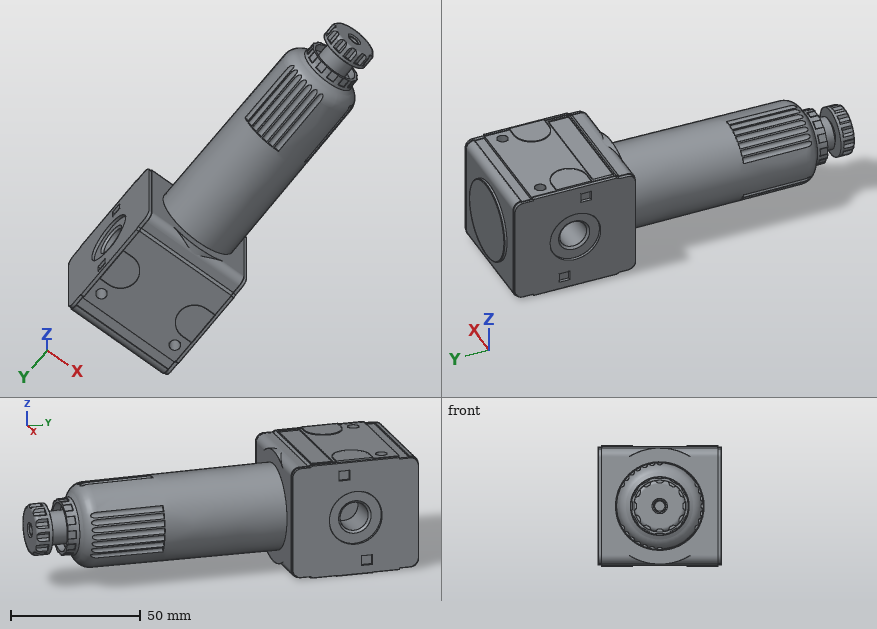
import cadquery as cq
import math


housing_width = 47.7
core_width = 45.0
housing_length = 51.7
end_height = 45.0
plateau_height = 46.2
pad_height = 47.0
corner_radius = 3.3
plate_inset = 0.3
plateau_rear_y = 18.1
plateau_front_y = -17.8
plateau_slope_length = 1.2
rear_y = housing_length / 2
front_y = -rear_y

channel_rear_y = 22.3
channel_depth = 0.6

front_boss_diameter = end_height
rear_disc_diameter = 33.5
rear_disc_height = 1.2
rear_disc_chamfer = 0.3

pad_radius = 7.5
pad_tip_x = 10.6
label_width = 42.5
label_rear_y = -8.5
label_front_y = -17.2
label_depth = 0.5
mount_hole_diameter = 4.4
mount_hole_x = 18.0
mount_hole_y = 12.3

spotface_diameter = 21.5
spotface_depth = 1.2
port_diameter = 11.4
port_chamfer = 0.9
port_depth = 15.2
mark_length = 4.4
mark_height = 4.0
mark_depth = 1.2
mark_y = -4.5
mark_z = 17.6

bowl_top_diameter = 34.4
bowl_bottom_diameter = 33.5
shoulder_y = -101.7
round_end_y = -107.2
round_end_diameter = 26.1
collar_y = -108.2
collar_cone_diameter = 22.8
collar_cone_end_y = -110.4
collar_diameter = 22.0
collar_end_y = -112.8
collar_recess_diameter = 19.2
collar_recess_depth = 3.0
stem_diameter = 13.2
stem_end_y = -117.6
neck_diameter = 9.7
knob_y = -118.7
knob_diameter = 20.0
knob_end_y = -125.0
knob_round = 1.5

flute_groups = 3
flutes_per_group = 7
flute_pitch_angle = 10.0
flute_radius = 1.2
flute_axis_radius = 17.2
flute_start_y = -75.2

window_count = 12
window_width = 3.2
window_start_y = -109.5
window_floor_radius = 10.6

knurl_count = 12
knurl_start_y = -120.1
knurl_floor_radius = 9.0
knurl_floor_width = 1.5
knurl_mouth_width = 4.1

drain_mouth_diameter = 6.0
drain_bore_diameter = 4.9
drain_bore_depth = 0.6
drain_hole_diameter = 4.0
drain_hole_depth = 9.1

clearance = 1.5


def box_between(x, y, z):
    """Axis-aligned box given its (low, high) limits along each axis."""
    size = (x[1] - x[0], y[1] - y[0], z[1] - z[0])
    return cq.Workplane("XY").box(*size, centered=False).translate((x[0], y[0], z[0]))


def cylinder_y(diameter, start_y, end_y):
    """Cylinder on the Y axis from start_y towards the larger end_y."""
    plane = cq.Plane(origin=(0, start_y, 0), xDir=(1, 0, 0), normal=(0, 1, 0))
    return cq.Workplane(plane).circle(diameter / 2).extrude(end_y - start_y)


def cylinder_x(diameter, start_x, end_x):
    """Cylinder on the X axis from start_x towards the larger end_x."""
    return cq.Workplane("YZ", origin=(start_x, 0, 0)).circle(diameter / 2).extrude(end_x - start_x)


def housing_block(width, inset):
    """Rounded block with a plateau on top and bottom, shrunk all round in Y and Z by inset."""
    end_z = end_height / 2 - inset
    plateau_z = plateau_height / 2 - inset
    rear = plateau_rear_y - inset
    front = plateau_front_y + inset
    foot = front - plateau_slope_length
    block = cq.Workplane("XY").box(width, housing_length - 2 * inset, 2 * end_z)
    block = block.edges("|X").fillet(corner_radius)
    outline = [
        (rear, plateau_z),
        (front, plateau_z),
        (foot, end_z),
        (foot, -end_z),
        (front, -plateau_z),
        (rear, -plateau_z),
    ]
    plateau = cq.Workplane("YZ").polyline(outline).close().extrude(width / 2, both=True)
    return block.union(plateau)


def channels():
    """Shallow channels across the core, behind the plateau, on top and bottom."""
    x = (-core_width / 2, core_width / 2)
    y = (plateau_rear_y, channel_rear_y)
    floor_z = end_height / 2 - channel_depth
    top = box_between(x, y, (floor_z, floor_z + clearance))
    return top.union(top.mirror("XY"))


def pads():
    """Four D-shaped pads: round end inwards, straight end at the side of the core."""
    centre_x = pad_tip_x + pad_radius
    edge_x = core_width / 2
    pad = (
        cq.Workplane("XY")
        .moveTo(edge_x, -pad_radius)
        .lineTo(centre_x, -pad_radius)
        .threePointArc((pad_tip_x, 0), (centre_x, pad_radius))
        .lineTo(edge_x, pad_radius)
        .close()
        .extrude(pad_height / 2, both=True)
    )
    return pad.union(pad.mirror("YZ"))


def left_port():
    """Spotface, chamfered blind port and two square marks on the -X side."""
    side_x = -housing_width / 2
    floor_x = side_x + spotface_depth
    cutter = cylinder_x(spotface_diameter, side_x, floor_x)
    mouth_radius = port_diameter / 2 + port_chamfer
    bore_outline = [
        (floor_x, 0),
        (floor_x, mouth_radius),
        (floor_x + port_chamfer, port_diameter / 2),
        (side_x + port_depth, port_diameter / 2),
        (side_x + port_depth, 0),
    ]
    bore = cq.Workplane("XY").polyline(bore_outline).close().revolve(360, (0, 0, 0), (1, 0, 0))
    cutter = cutter.union(bore)
    for sign in (1, -1):
        mark = cq.Workplane("XY").box(2 * mark_depth, mark_length, mark_height)
        cutter = cutter.union(mark.translate((side_x, sign * mark_y, sign * mark_z)))
    return cutter


def mount_holes():
    """Two holes through the housing along Z."""
    return (
        cq.Workplane("XY")
        .pushPoints([(-mount_hole_x, mount_hole_y), (mount_hole_x, mount_hole_y)])
        .circle(mount_hole_diameter / 2)
        .extrude(pad_height, both=True)
    )


def make_housing():
    body = housing_block(core_width, 0)
    body = body.union(housing_block(housing_width, plate_inset)).cut(channels())
    body = body.union(cylinder_y(front_boss_diameter, front_y, front_y + corner_radius))
    rear_disc = cylinder_y(rear_disc_diameter, rear_y - clearance, rear_y + rear_disc_height)
    body = body.union(rear_disc.faces(">Y").chamfer(rear_disc_chamfer))
    body = body.union(pads())
    label = box_between(
        (-label_width / 2, label_width / 2),
        (label_front_y, label_rear_y),
        (plateau_height / 2 - label_depth, plateau_height / 2),
    )
    body = body.cut(label)
    port = left_port()
    body = body.cut(port).cut(port.mirror("YZ"))
    return body.cut(mount_holes())


def bowl_blank():
    """Turned shape of the bowl, collar, stem and knob."""
    knob_radius = knob_diameter / 2
    recess_floor_y = collar_end_y + collar_recess_depth
    round_mid = knob_round * (1 - math.sqrt(0.5))
    profile = (
        cq.Workplane("XY")
        .moveTo(0, front_y)
        .lineTo(bowl_top_diameter / 2, front_y)
        .lineTo(bowl_bottom_diameter / 2, shoulder_y)
        .tangentArcPoint((round_end_diameter / 2, round_end_y), relative=False)
        .lineTo(collar_cone_diameter / 2, collar_y)
        .lineTo(collar_diameter / 2, collar_cone_end_y)
        .lineTo(collar_diameter / 2, collar_end_y)
        .lineTo(collar_recess_diameter / 2, collar_end_y)
        .lineTo(collar_recess_diameter / 2, recess_floor_y)
        .lineTo(stem_diameter / 2, recess_floor_y)
        .lineTo(stem_diameter / 2, stem_end_y)
        .lineTo(neck_diameter / 2, stem_end_y)
        .lineTo(neck_diameter / 2, knob_y)
        .lineTo(knob_radius, knob_y)
        .lineTo(knob_radius, knob_end_y + knob_round)
        .threePointArc(
            (knob_radius - round_mid, knob_end_y + round_mid),
            (knob_radius - knob_round, knob_end_y),
        )
        .lineTo(0, knob_end_y)
        .close()
    )
    return profile.revolve(360, (0, 0, 0), (0, 1, 0))


def around_axis(cutter, angles):
    """Copies of a cutter made at +X, turned about the Y axis."""
    copies = [cutter.rotate((0, 0, 0), (0, 1, 0), angle).val() for angle in angles]
    return cq.Workplane("XY").newObject([cq.Compound.makeCompound(copies)])


def flutes():
    """Round-bottomed grip flutes running out through the rounded end of the bowl."""
    plane = cq.Plane(origin=(flute_axis_radius, flute_start_y, 0), xDir=(1, 0, 0), normal=(0, -1, 0))
    flute = cq.Workplane(plane).circle(flute_radius).extrude(flute_start_y - round_end_y)
    middle = (flutes_per_group - 1) / 2
    angles = [
        group * 360 / flute_groups + (index - middle) * flute_pitch_angle
        for group in range(flute_groups)
        for index in range(flutes_per_group)
    ]
    return around_axis(flute, angles)


def collar_windows():
    """Flat windows in the collar, open at its lower end."""
    window = box_between(
        (window_floor_radius, window_floor_radius + clearance),
        (collar_end_y, window_start_y),
        (-window_width / 2, window_width / 2),
    )
    return around_axis(window, [index * 360 / window_count for index in range(window_count)])


def knurl_grooves():
    """Trapezoidal grooves in the knob, open at its end."""
    knob_radius = knob_diameter / 2
    flare = (knurl_mouth_width - knurl_floor_width) / 2
    plane = cq.Plane(origin=(0, knurl_start_y, 0), xDir=(1, 0, 0), normal=(0, -1, 0))
    outline = [
        (knurl_floor_radius, -knurl_floor_width / 2),
        (knurl_floor_radius, knurl_floor_width / 2),
        (knob_radius, knurl_floor_width / 2 + flare),
        (knob_radius, -knurl_floor_width / 2 - flare),
    ]
    groove = cq.Workplane(plane).polyline(outline).close().extrude(knurl_start_y - knob_end_y)
    return around_axis(groove, [index * 360 / knurl_count for index in range(knurl_count)])


def drain_hole():
    """Stepped blind hole with a countersunk mouth in the end of the knob."""
    countersink_depth = (drain_mouth_diameter - drain_bore_diameter) / 2
    bore_end_y = knob_end_y + drain_bore_depth
    hole_end_y = knob_end_y + drain_hole_depth
    outline = [
        (0, knob_end_y),
        (drain_mouth_diameter / 2, knob_end_y),
        (drain_bore_diameter / 2, knob_end_y + countersink_depth),
        (drain_bore_diameter / 2, bore_end_y),
        (drain_hole_diameter / 2, bore_end_y),
        (drain_hole_diameter / 2, hole_end_y),
        (0, hole_end_y),
    ]
    return cq.Workplane("XY").polyline(outline).close().revolve(360, (0, 0, 0), (0, 1, 0))


def make_bowl():
    body = bowl_blank().cut(flutes()).cut(collar_windows())
    return body.cut(knurl_grooves()).cut(drain_hole())


housing = make_housing()
bowl = make_bowl()
result = cq.Compound.makeCompound([housing.val(), bowl.val()])